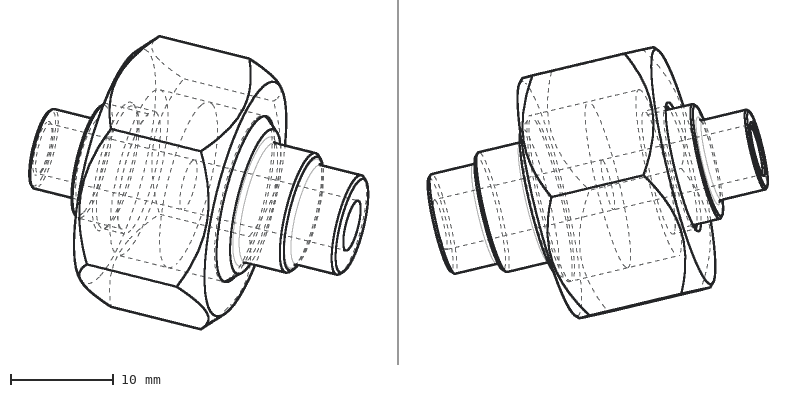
import cadquery as cq
import math

overall_length = 32.0
collar_start = 5.0
nut_start = 7.5
nut_length = 13.5
lip_thickness = 2.5
joint_gap = 5.12
flange_end = 22.0
step_end = 27.0
nut_end = nut_start + nut_length
flange_start = nut_start + lip_thickness
joint = flange_start + joint_gap

bore_diameter = 5.0
left_spigot_diameter = 8.0
collar_diameter = 11.5
right_spigot_diameter = 10.0
step_diameter = 12.0
flange_diameter = 16.6
nut_hole_diameter = 12.3
nut_flats = 24.0
nut_face_diameter = 23.5

left_chamfer = 0.2
right_chamfer = 0.3
left_fillet = 0.4
right_fillet = 0.48
flange_rim_diameter = 14.5
flange_cone_length = 1.25
nut_hole_chamfer = 0.3

common_axis = ((0, 0, 0), (1, 0, 0))


def revolve_about_x(profile):
    """Revolve a closed half profile (X = axial, Y = radial) about the X axis."""
    return profile.close().revolve(360, *common_axis)


def quarter_arc_middle(centre_x, centre_r, radius, side):
    """Middle point of a concave fillet; side is +1 or -1 along X from its centre."""
    reach = radius * math.cos(math.radians(45))
    return (centre_x + side * reach, centre_r - reach)


def make_insert():
    """Left spigot with a collar and a flange held behind the nut lip."""
    bore = bore_diameter / 2
    spigot = left_spigot_diameter / 2
    collar = collar_diameter / 2
    flange = flange_diameter / 2
    c = left_chamfer
    f = left_fillet
    profile = (
        cq.Workplane("XY")
        .moveTo(c, bore)
        .lineTo(0, bore + c)
        .lineTo(0, spigot - c)
        .lineTo(c, spigot)
        .lineTo(collar_start - f, spigot)
        .threePointArc(quarter_arc_middle(collar_start - f, spigot + f, f, 1), (collar_start, spigot + f))
        .lineTo(collar_start, collar - c)
        .lineTo(collar_start + c, collar)
        .lineTo(flange_start - f, collar)
        .threePointArc(quarter_arc_middle(flange_start - f, collar + f, f, 1), (flange_start, collar + f))
        .lineTo(flange_start, flange)
        .lineTo(joint, flange)
        .lineTo(joint, bore)
    )
    return revolve_about_x(profile)


def make_nipple():
    """Right stepped spigot with a chamfered flange that fills the nut counterbore."""
    bore = bore_diameter / 2
    flange = flange_diameter / 2
    step = step_diameter / 2
    spigot = right_spigot_diameter / 2
    c = right_chamfer
    f = right_fillet
    profile = (
        cq.Workplane("XY")
        .moveTo(joint, bore)
        .lineTo(joint, flange)
        .lineTo(flange_end - flange_cone_length, flange)
        .lineTo(flange_end, flange_rim_diameter / 2)
        .lineTo(flange_end, step + f)
        .threePointArc(quarter_arc_middle(flange_end + f, step + f, f, -1), (flange_end + f, step))
        .lineTo(step_end - c, step)
        .lineTo(step_end, step - c)
        .lineTo(step_end, spigot + f)
        .threePointArc(quarter_arc_middle(step_end + f, spigot + f, f, -1), (step_end + f, spigot))
        .lineTo(overall_length - c, spigot)
        .lineTo(overall_length, spigot - c)
        .lineTo(overall_length, bore)
    )
    return revolve_about_x(profile)


def make_nut_envelope():
    """Solid of revolution whose 45 degree ends trim the hexagon corners."""
    face = nut_face_diameter / 2
    corner = nut_flats / math.sqrt(3)
    trim = corner - face
    profile = (
        cq.Workplane("XY")
        .moveTo(nut_start, 0)
        .lineTo(nut_start, face)
        .lineTo(nut_start + trim, corner)
        .lineTo(nut_end - trim, corner)
        .lineTo(nut_end, face)
        .lineTo(nut_end, 0)
    )
    return revolve_about_x(profile)


def make_nut_hole():
    """Chamfered hole through the lip, then the counterbore that holds both flanges."""
    hole = nut_hole_diameter / 2
    flange = flange_diameter / 2
    profile = (
        cq.Workplane("XY")
        .moveTo(nut_start, 0)
        .lineTo(nut_start, hole + nut_hole_chamfer)
        .lineTo(nut_start + nut_hole_chamfer, hole)
        .lineTo(flange_start, hole)
        .lineTo(flange_start, flange)
        .lineTo(nut_end, flange)
        .lineTo(nut_end, 0)
    )
    return revolve_about_x(profile)


def make_nut():
    """Hexagon nut with corners on the Y axis and flats at top and bottom."""
    corner_diameter = 2 * nut_flats / math.sqrt(3)
    blank = (
        cq.Workplane("YZ")
        .workplane(offset=nut_start)
        .polygon(6, corner_diameter)
        .extrude(nut_length)
    )
    return blank.intersect(make_nut_envelope()).cut(make_nut_hole())


insert = make_insert()
nipple = make_nipple()
nut = make_nut()

result = cq.Compound.makeCompound([insert.val(), nipple.val(), nut.val()])